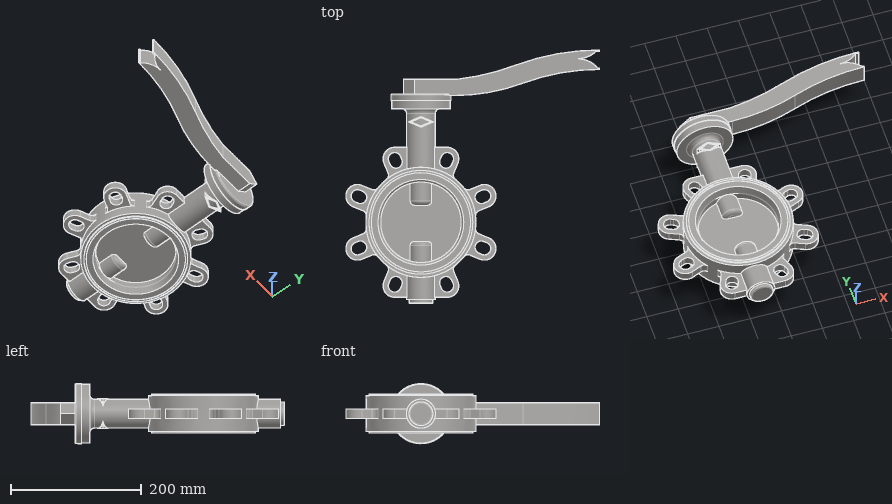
import cadquery as cq
import math


ring_radius = 84.2
ring_height = 55.0
lip_radius = 79.3
lip_inner_radius = 75.8
seat_face_drop = 0.5
lip_height = 2.25
bore_mouth_radius = 65.5
seat_radius = 61.5
wall_middle_radius = (seat_radius + ring_radius) / 2
seat_half_width = 16.7
disc_thickness = 8.6
face_z = ring_height / 2 + lip_height
seat_face_z = face_z - seat_face_drop

hub_radius = 17.0
hub_fillet = 6.5
upper_hub_end = 26.0
lower_hub_end = -29.0

lug_count = 8
lug_thickness = 15.0
lug_circle_radius = 105.0
slot_width = 19.0
slot_travel = 5.0
lug_radius = 17.8
lug_fillet = 8.0
first_lug_angle = 360.0 / lug_count / 2
lug_extent = lug_circle_radius * math.cos(math.radians(first_lug_angle)) + lug_radius

neck_radius = 22.25
neck_bottom = -118.0
neck_fillet = 7.0
flange_radius = 45.0
flange_bottom = 173.5
flange_top = 186.0
spigot_radius = 18.2
spigot_bottom = -124.0
spigot_fillet = 1.5

diamond_y = 153.5
diamond_half_width = 19.0
diamond_half_height = 8.0
diamond_inner_ratio = 0.8
diamond_z = 23.0

plate_radius = 46.0
plate_top = 196.2
plate_fillet = 2.0
lever_thickness = 34.0
lever_depth = 30.0
lever_tip_x = -26.8
lever_end_x = 273.19
lever_end_top = 263.5
lever_flat_top = 218.7
lever_flat_end_x = 54.5
lower_bend_start = (50.0, 193.5)
upper_bend_radius = 380.0
grip_bend_radius = 337.0

notch_x = 240.5
notch_y = 250.0
notch_radius = 38.0
upper_prong = 2.3
lower_prong = 2.0


def y_cylinder(radius, y_start, y_end):
    """Solid cylinder along Y."""
    return cq.Workplane("XZ", origin=(0, y_start, 0)).circle(radius).extrude(y_start - y_end)


def lug():
    """Lug along +X, with side flanks blended into the ring."""
    blend_offset = lug_radius + lug_fillet
    blend_centre_x = math.sqrt((ring_radius + lug_fillet) ** 2 - blend_offset ** 2)
    to_ring = ring_radius / (ring_radius + lug_fillet)
    ring_x = blend_centre_x * to_ring
    ring_y = blend_offset * to_ring
    angle_to_ring = math.atan2(-blend_offset, -blend_centre_x)
    middle_angle = (angle_to_ring - math.pi / 2) / 2
    middle_x = blend_centre_x + lug_fillet * math.cos(middle_angle)
    middle_y = blend_offset + lug_fillet * math.sin(middle_angle)
    return (
        cq.Workplane("XY", origin=(0, 0, -lug_thickness / 2))
        .moveTo(wall_middle_radius, -ring_y)
        .lineTo(ring_x, -ring_y)
        .threePointArc((middle_x, -middle_y), (blend_centre_x, -lug_radius))
        .lineTo(lug_circle_radius, -lug_radius)
        .threePointArc((lug_circle_radius + lug_radius, 0), (lug_circle_radius, lug_radius))
        .lineTo(blend_centre_x, lug_radius)
        .threePointArc((middle_x, middle_y), (ring_x, ring_y))
        .lineTo(wall_middle_radius, ring_y)
        .close()
        .extrude(lug_thickness)
    )


def lug_slot():
    """Radial bolt slot of the lug along +X."""
    return (
        cq.Workplane("XY", origin=(lug_circle_radius - slot_travel / 2, 0, -lug_thickness / 2))
        .slot2D(slot_width + slot_travel, slot_width)
        .extrude(lug_thickness)
    )


def neck_webs():
    """Plates that fill the space between the neck and the lugs beside it."""
    half_width = lug_circle_radius * math.sin(math.radians(first_lug_angle))
    web_height = lug_extent - wall_middle_radius
    return (
        cq.Workplane("XY")
        .pushPoints([(0, side * (wall_middle_radius + web_height / 2)) for side in (-1, 1)])
        .box(2 * half_width, web_height, lug_thickness)
    )


def neck_and_flange():
    """Solid neck along the stem axis with a filleted top flange and the bottom spigot."""
    neck = y_cylinder(neck_radius, neck_bottom, flange_bottom)
    flange = y_cylinder(flange_radius, flange_bottom, flange_top)
    spigot = y_cylinder(spigot_radius, spigot_bottom, neck_bottom)
    spigot = spigot.faces("<Y").edges().fillet(spigot_fillet)
    reach = (neck_radius + flange_radius) / 2
    flange_middle = (flange_bottom + flange_top) / 2
    corner = cq.selectors.BoxSelector(
        (-reach, 0, -reach),
        (reach, flange_middle, reach),
        boundingbox=True,
    )
    return neck.union(flange).edges(corner).fillet(neck_fillet).union(spigot)


def diamond_frame():
    """Diamond outline standing above and below the neck."""
    def prism(ratio):
        width = diamond_half_width * ratio
        height = diamond_half_height * ratio
        return (
            cq.Workplane("XY", origin=(0, diamond_y, -diamond_z))
            .polyline([(-width, 0), (0, height), (width, 0), (0, -height)])
            .close()
            .extrude(2 * diamond_z)
        )

    return prism(1.0).cut(prism(diamond_inner_ratio))


def seat_bore():
    """Flow passage: cylindrical seat that flares toward both faces, with the shallow seat faces."""
    return (
        cq.Workplane("XZ")
        .polyline([
            (0, -face_z),
            (lip_inner_radius, -face_z),
            (lip_inner_radius, -seat_face_z),
            (bore_mouth_radius, -seat_face_z),
            (seat_radius, -seat_half_width),
            (seat_radius, seat_half_width),
            (bore_mouth_radius, seat_face_z),
            (lip_inner_radius, seat_face_z),
            (lip_inner_radius, face_z),
            (0, face_z),
        ])
        .close()
        .revolve(360, (0, 0, 0), (0, 1, 0))
    )


def make_housing():
    ring = cq.Workplane("XY").cylinder(ring_height, ring_radius)
    lips = cq.Workplane("XY").cylinder(2 * face_z, lip_radius)
    housing = ring.union(lips).union(neck_and_flange()).union(diamond_frame()).union(neck_webs())
    angles = [first_lug_angle + i * 360.0 / lug_count for i in range(lug_count)]
    for angle in angles:
        housing = housing.union(lug().rotate((0, 0, 0), (0, 0, 1), angle))
    for angle in angles:
        housing = housing.cut(lug_slot().rotate((0, 0, 0), (0, 0, 1), angle))
    housing = housing.cut(seat_bore())

    disc_radius = (seat_radius + bore_mouth_radius) / 2
    disc = cq.Workplane("XY").cylinder(disc_thickness, disc_radius)
    upper_hub = y_cylinder(hub_radius, upper_hub_end, wall_middle_radius)
    upper_hub = upper_hub.faces("<Y").edges().fillet(hub_fillet)
    lower_hub = y_cylinder(hub_radius, -wall_middle_radius, lower_hub_end)
    lower_hub = lower_hub.faces(">Y").edges().fillet(hub_fillet)
    return housing.union(disc).union(upper_hub).union(lower_hub)


def lever_bar():
    """S-curved bar extruded along Z, pointed at its inner end."""
    start_x, start_y = lower_bend_start
    end_bottom = lever_end_top - lever_depth
    bend_angle = 2 * math.atan2(end_bottom - start_y, lever_end_x - start_x)
    grip_centre_y = end_bottom - grip_bend_radius
    grip_top_radius = grip_bend_radius + lever_depth

    def grip_point(radius, angle):
        return (lever_end_x - radius * math.sin(angle), grip_centre_y + radius * math.cos(angle))

    lower_reversal = grip_point(grip_bend_radius, bend_angle)
    first_radius = (lower_reversal[0] - start_x) / math.sin(bend_angle)
    first_middle = (
        start_x + first_radius * math.sin(bend_angle / 2),
        start_y + first_radius * (1 - math.cos(bend_angle / 2)),
    )
    upper_reversal = grip_point(grip_top_radius, bend_angle)
    bar = (
        cq.Workplane("XY", origin=(0, 0, -lever_thickness / 2))
        .moveTo(lever_tip_x, start_y)
        .lineTo(start_x, start_y)
        .threePointArc(first_middle, lower_reversal)
        .threePointArc(grip_point(grip_bend_radius, bend_angle / 2), (lever_end_x, end_bottom))
        .lineTo(lever_end_x, lever_end_top)
        .threePointArc(grip_point(grip_top_radius, bend_angle / 2), upper_reversal)
        .radiusArc((lever_flat_end_x, lever_flat_top), upper_bend_radius)
        .lineTo(lever_tip_x, lever_flat_top)
        .close()
        .extrude(lever_thickness)
    )
    half = lever_thickness / 2
    pointed_envelope = (
        cq.Workplane("XZ")
        .polyline([
            (lever_tip_x, 0),
            (lever_tip_x + half, half),
            (lever_end_x, half),
            (lever_end_x, -half),
            (lever_tip_x + half, -half),
        ])
        .close()
        .extrude(-lever_end_top)
    )
    return bar.intersect(pointed_envelope)


def grip_notch():
    """Fishtail cut: two arcs spreading from a cusp until thin prongs remain."""
    def arc_point(rise):
        """Point on the notch arc at a signed distance above the cusp."""
        run = math.sqrt(notch_radius ** 2 - (notch_radius - abs(rise)) ** 2)
        return (notch_x + run, notch_y + rise)

    upper_rise = lever_end_top - upper_prong - notch_y
    lower_rise = lever_end_top - lever_depth + lower_prong - notch_y
    return (
        cq.Workplane("XY", origin=(0, 0, -lever_thickness / 2))
        .moveTo(notch_x, notch_y)
        .threePointArc(arc_point(lower_rise / 3), arc_point(lower_rise))
        .lineTo(lever_end_x, notch_y + lower_rise)
        .lineTo(lever_end_x, notch_y + upper_rise)
        .lineTo(*arc_point(upper_rise))
        .threePointArc(arc_point(upper_rise / 3), (notch_x, notch_y))
        .close()
        .extrude(lever_thickness)
    )


def make_lever():
    plate = y_cylinder(plate_radius, flange_top, plate_top).faces(">Y").edges().fillet(plate_fillet)
    return plate.union(lever_bar().cut(grip_notch()))


housing = make_housing()
lever = make_lever()
result = cq.Compound.makeCompound([housing.val(), lever.val()])